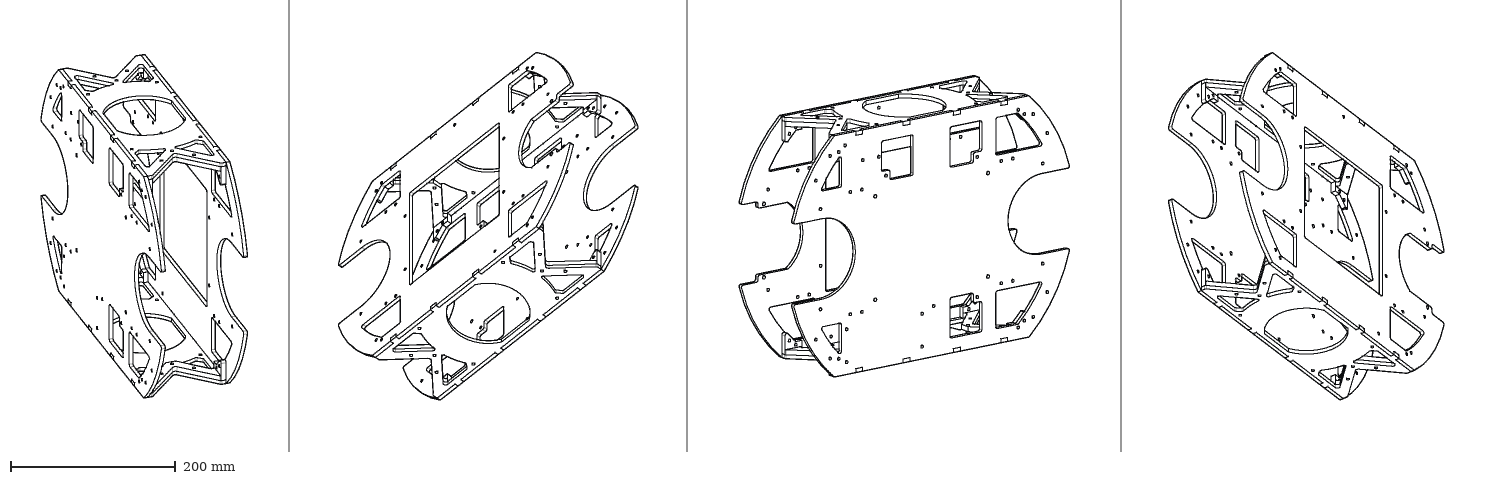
import cadquery as cq
import math

sheet = 5.08
frame_height = 304.8
inner_width = 101.6
half_height = frame_height / 2
half_inner = inner_width / 2
half_depth = half_inner + sheet
panel_half_length = 147.32
corner_radius = 3.175

end_arc_center = 11.597
end_arc_radius = math.hypot(panel_half_length - end_arc_center, half_height)
notch_radius = 50.8
notch_bottom = 115.57
tip_radius = 2.54

rim_width = 25.4
window_arc_radius = end_arc_radius - rim_width
window_top = 133.35
window_bottom = 85.73
wide_window_inner = 97.16
narrow_window_inner = 136.53
window_corner = 2.54

cutout_inner = 28.0
cutout_outer = 75.8
cutout_bottom = 82.2
cutout_step = 12.7

opening_size = 161.3
ledge_start = 183.4
ledge_half_gap = 42.2
ledge_radius = 2.54

tab_width = 10.16
tab_centers = (-109.86, -38.1, 38.1, 109.86)

bracket_thickness = 6.35
flange_thickness = 6.35
flange_inner = half_inner - flange_thickness
arm_width = 12.7
arm_outer_offset = panel_half_length - flange_inner
arm_inner_offset = arm_outer_offset - arm_width * math.sqrt(2)
arm_notch_fillet = 4.0
panel_hole_radius = 50.8
panel_window_arc = 88.4
panel_window_shoulder = 86.4
panel_window_bevel = 6.0
panel_window_corner = 2.2
hub_end = 91.4
flange_length = 25.4
flange_corner = 2.54
flange_depth_limit = 121.0

plate_hole = 3.5
bracket_hole = 3.6
large_hole = 4.2
flange_holes = [(140.5, 130.5), (131.0, 137.4)]
rim_holes = [(153.7, 128.0), (175.0, 100.4)]
notch_hole = (168.1, 63.3)
large_holes = [(85.3, 65.3)]
front_row_holes = [(105.4, 77.2), (122.9, 77.2)]
back_row_holes = [(105.8, 80.0), (123.2, 80.0)]
cutout_hole = (69.0, 88.5)
front_upper_holes = [(-104.1, 114.2), (-79.8, 114.2)]
front_lower_holes = [(x, z) for x in (-128.6, -14.4) for z in (-95.3, -136.8)] + [(3.1, -88.5)]
back_notch_hole = (88.6, 46.6)
back_single_holes = [(-0.5, 138.0), (-72.8, -138.5)]
ledge_hole = (174.4, 46.4)
arm_hole = (115.5, 21.0)
hub_hole = (96.6, 0)
panel_corner_hole = (75.3, 44.45)


def four_way(points):
    """Repeat points of one quadrant in all four."""
    return [(sx * x, sy * y) for x, y in points for sx in (-1, 1) for sy in (-1, 1)]


def across_y(inner_face):
    """Sketch plane of a side plate, drawn in X and Z and extruded towards -Y."""
    return cq.Workplane("XZ", origin=(0, inner_face, 0))


def drill(body, plane, points, diameter, depth):
    return body.cut(plane.pushPoints(points).circle(diameter / 2).extrude(depth))


def fillet_corners(body, axis, corners, radius):
    """Round the edges parallel to the axis that lie nearest to the given corner points."""
    for corner in corners:
        body = body.edges("|" + axis).edges(cq.selectors.NearestToPointSelector(corner)).fillet(radius)
    return body


def arc_x(radius, z):
    """Distance from the middle of an end arc of the given radius at height z."""
    return end_arc_center + math.sqrt(radius**2 - z**2)


def plate_blank(plane):
    """Plate with curved ends, an end notch on each side and slots for the panel tabs."""
    arc_middle = (arc_x(end_arc_radius, 0), 0)
    blank = (
        plane.moveTo(-panel_half_length, half_height)
        .lineTo(panel_half_length, half_height)
        .threePointArc(arc_middle, (panel_half_length, -half_height))
        .lineTo(-panel_half_length, -half_height)
        .threePointArc((-arc_middle[0], 0), (-panel_half_length, half_height))
        .close()
        .extrude(sheet)
    )
    notch_length = 2 * panel_half_length
    for side in (-1, 1):
        notch = plane.center(side * (notch_bottom + notch_length / 2), 0)
        blank = blank.cut(notch.slot2D(notch_length, 2 * notch_radius).extrude(sheet))
    tip_corners = four_way([(arc_x(end_arc_radius, notch_radius), notch_radius)])
    blank = fillet_corners(blank, "Y", [(x, 0, z) for x, z in tip_corners], tip_radius)
    slots = [(x, side * (half_height - sheet / 2)) for x in tab_centers for side in (-1, 1)]
    return blank.cut(plane.pushPoints(slots).rect(tab_width, sheet).extrude(sheet))


def rim_window(plane, inner, x_side, z_side):
    """Window bounded by a straight inner side and an arc concentric with the plate's end."""
    top = min(window_top, math.sqrt(window_arc_radius**2 - (inner - end_arc_center) ** 2))
    middle = (top + window_bottom) / 2
    window = plane.moveTo(x_side * inner, z_side * window_bottom).lineTo(x_side * inner, z_side * top)
    if top == window_top:
        window = window.lineTo(x_side * arc_x(window_arc_radius, top), z_side * top)
    return (
        window.threePointArc(
            (x_side * arc_x(window_arc_radius, middle), z_side * middle),
            (x_side * arc_x(window_arc_radius, window_bottom), z_side * window_bottom),
        )
        .close()
        .extrude(sheet)
        .edges("|Y")
        .fillet(window_corner)
    )


def stepped_cutout(plane, x_side, z_side):
    """Square cutout whose outer corner nearest the plate's middle is stepped in."""
    outline = [
        (cutout_inner, window_top),
        (cutout_outer, window_top),
        (cutout_outer, cutout_bottom + cutout_step),
        (cutout_outer - cutout_step, cutout_bottom + cutout_step),
        (cutout_outer - cutout_step, cutout_bottom),
        (cutout_inner, cutout_bottom),
    ]
    points = [(x_side * x, z_side * z) for x, z in outline]
    return plane.polyline(points).close().extrude(sheet).edges("|Y").fillet(window_corner)


def make_front_plate():
    plane = across_y(-half_inner)
    plate = plate_blank(plane)
    for z_side in (-1, 1):
        plate = plate.cut(rim_window(plane, narrow_window_inner, -1, z_side))
        plate = plate.cut(rim_window(plane, wide_window_inner, 1, z_side))
    for x_side, z_side in ((-1, 1), (1, 1), (1, -1)):
        plate = plate.cut(stepped_cutout(plane, x_side, z_side))
        hole = (x_side * cutout_hole[0], z_side * cutout_hole[1])
        plate = drill(plate, plane, [hole], plate_hole, sheet)
    shared = [(x, z) for x, z in four_way(flange_holes[1:]) if x > 0 or z > 0]
    small = four_way(flange_holes[:1] + rim_holes + [notch_hole] + front_row_holes) + shared
    plate = drill(plate, plane, small + front_upper_holes + front_lower_holes, plate_hole, sheet)
    return drill(plate, plane, four_way(large_holes), large_hole, sheet)


def make_back_plate():
    plane = across_y(half_depth)
    plate = plate_blank(plane)
    plate = plate.union(make_ledges(plane))
    ledge_roots = [(-ledge_start, 0, side * notch_radius) for side in (-1, 1)]
    plate = fillet_corners(plate, "Y", ledge_roots, corner_radius)
    for x_side in (-1, 1):
        for z_side in (-1, 1):
            plate = plate.cut(rim_window(plane, wide_window_inner, x_side, z_side))
    opening = plane.rect(opening_size, opening_size).extrude(sheet).edges("|Y").fillet(window_corner)
    plate = plate.cut(opening)
    small = four_way(flange_holes + [notch_hole] + back_row_holes + [back_notch_hole]) + back_single_holes
    plate = drill(plate, plane, small, plate_hole, sheet)
    ledge_holes = [(-ledge_hole[0], side * ledge_hole[1]) for side in (-1, 1)]
    return drill(plate, plane, ledge_holes, large_hole, sheet)


def make_ledges(plane):
    """Two ledges that narrow the left notch, running from near its mouth into its round bottom."""
    ledge_end = notch_bottom + notch_radius / 4
    length = ledge_start - ledge_end
    height = notch_radius - ledge_half_gap
    spots = [(-(ledge_start + ledge_end) / 2, side * (ledge_half_gap + height / 2)) for side in (-1, 1)]
    ledges = plane.pushPoints(spots).rect(length, height).extrude(sheet)
    corners = [(-ledge_start, 0, side * ledge_half_gap) for side in (-1, 1)]
    return fillet_corners(ledges, "Y", corners, ledge_radius)


def panel_window(x_side, y_side, thickness):
    """Window between an arm and the round middle of a panel."""
    bevel_x = panel_window_shoulder - panel_window_bevel
    bevel_y = math.sqrt(panel_window_arc**2 - bevel_x**2)
    tip_y = (math.sqrt(2 * panel_window_arc**2 - arm_inner_offset**2) - arm_inner_offset) / 2
    tip_x = tip_y + arm_inner_offset
    mid_y = (bevel_y + tip_y) / 2
    mid_x = math.sqrt(panel_window_arc**2 - mid_y**2)
    window = (
        cq.Workplane("XY")
        .moveTo(x_side * (arm_inner_offset + flange_inner), y_side * flange_inner)
        .lineTo(x_side * panel_window_shoulder, y_side * flange_inner)
        .lineTo(x_side * bevel_x, y_side * bevel_y)
        .threePointArc((x_side * mid_x, y_side * mid_y), (x_side * tip_x, y_side * tip_y))
        .close()
        .extrude(thickness)
    )
    flange_corner_point = (x_side * (arm_inner_offset + flange_inner), y_side * flange_inner, 0)
    window = fillet_corners(window, "Z", [flange_corner_point], corner_radius)
    other_corners = [
        (x_side * panel_window_shoulder, y_side * flange_inner, 0),
        (x_side * bevel_x, y_side * bevel_y, 0),
        (x_side * tip_x, y_side * tip_y, 0),
    ]
    return fillet_corners(window, "Z", other_corners, panel_window_corner)


def end_v(x_side, thickness):
    """Triangular notch at a panel's end; the arms' outer edges are its sides."""
    return (
        cq.Workplane("XY")
        .moveTo(x_side * arm_outer_offset, 0)
        .lineTo(x_side * (arm_outer_offset + half_depth), half_depth)
        .lineTo(x_side * (arm_outer_offset + half_depth), -half_depth)
        .close()
        .extrude(thickness)
        .edges("|Z and (%sX)" % ("<" if x_side > 0 else ">"))
        .fillet(arm_notch_fillet)
    )


def cut_arms(body, thickness, ends):
    """Cut the end notches and arm windows, which panels and brackets share, at the given ends."""
    for x_side in ends:
        body = body.cut(end_v(x_side, thickness))
        arm_corners = [(x_side * panel_half_length, y_side * flange_inner, 0) for y_side in (-1, 1)]
        body = fillet_corners(body, "Z", arm_corners, corner_radius)
        for y_side in (-1, 1):
            body = body.cut(panel_window(x_side, y_side, thickness))
    return body


def make_panel():
    """Top panel with its underside at Z = 0."""
    plane = cq.Workplane("XY")
    panel = plane.rect(2 * panel_half_length, inner_width).extrude(sheet)
    for x in tab_centers:
        panel = panel.union(plane.center(x, 0).rect(tab_width, 2 * half_depth).extrude(sheet))
    panel = cut_arms(panel, sheet, (-1, 1))
    middle_hole = plane.circle(panel_hole_radius).extrude(sheet)
    middle_hole = middle_hole.intersect(plane.rect(inner_width, 2 * flange_inner).extrude(sheet))
    panel = panel.cut(middle_hole)
    holes = four_way([arm_hole, panel_corner_hole]) + [(-hub_hole[0], hub_hole[1]), hub_hole]
    return drill(panel, plane, holes, bracket_hole, sheet)


def flange_profile(y_start):
    """Bracket flange whose free edge follows the arc of the plate's rim window."""
    flange_root = half_height - sheet
    arc_end = arc_x(window_arc_radius, flange_depth_limit)
    arc_start = arc_x(window_arc_radius, window_top)
    middle = (flange_depth_limit + window_top) / 2
    plane = across_y(y_start)
    flange = (
        plane.moveTo(panel_half_length - flange_length, flange_root)
        .lineTo(panel_half_length, flange_root)
        .lineTo(panel_half_length, flange_depth_limit)
        .lineTo(arc_end, flange_depth_limit)
        .threePointArc((arc_x(window_arc_radius, middle), middle), (arc_start, window_top))
        .lineTo(panel_half_length - flange_length, window_top)
        .close()
        .extrude(flange_thickness)
    )
    free_corner = (panel_half_length, 0, flange_depth_limit)
    flange = fillet_corners(flange, "Y", [free_corner], flange_corner)
    return drill(flange, plane, flange_holes, bracket_hole, flange_thickness)


def make_bracket():
    """Bracket under the +X end of the top panel: two arms, a hub and two flanges."""
    plane = cq.Workplane("XY")
    base = (
        plane.center((hub_end + panel_half_length) / 2, 0)
        .rect(panel_half_length - hub_end, inner_width)
        .extrude(bracket_thickness)
    )
    base = cut_arms(base, bracket_thickness, (1,))
    gap_end = panel_half_length - flange_length
    for side in (-1, 1):
        edge_gap = (
            plane.center((hub_end + gap_end) / 2, side * (flange_inner + flange_thickness / 2))
            .rect(gap_end - hub_end, flange_thickness)
            .extrude(bracket_thickness)
        )
        base = base.cut(edge_gap)
    holes = [hub_hole] + [(arm_hole[0], side * arm_hole[1]) for side in (-1, 1)]
    base = drill(base, plane, holes, bracket_hole, bracket_thickness)
    bracket = base.translate((0, 0, half_height - sheet - bracket_thickness))
    for y_start in (half_inner, -flange_inner):
        bracket = bracket.union(flange_profile(y_start))
    return bracket


front_plate = make_front_plate()
back_plate = make_back_plate()

top_panel = make_panel().translate((0, 0, half_height - sheet))
bottom_panel = top_panel.mirror("XY")

right_top_bracket = make_bracket()
top_brackets = [right_top_bracket, right_top_bracket.mirror("YZ")]
brackets = top_brackets + [bracket.mirror("XY") for bracket in top_brackets]

result = cq.Compound.makeCompound(
    [front_plate.val(), back_plate.val(), top_panel.val(), bottom_panel.val()]
    + [bracket.val() for bracket in brackets]
)